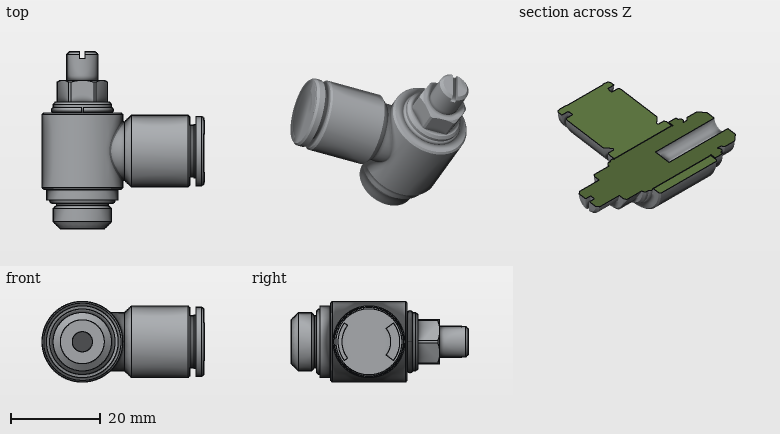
import cadquery as cq
import math


barrel_d = 18.0
barrel_length = 17.05
barrel_chamfer = 0.4
bolt_bore_d = 13.05

neck_d = 13.05
neck_end = 9.4
arm_d = 16.0
arm_start = 10.95
arm_end = 23.95
arm_chamfer = 0.4
root_fillet = 0.25
sleeve_d = 11.6
sleeve_end = 24.95
shoulder_d = 11.95
ring_d = 15.5
ring_start = 25.3
ring_end = 27.1
ring_chamfer_length = 0.5
ring_chamfer_depth = 0.4

pad_height = 0.1
pad_outer_r = 6.87
pad_half_angle = 37.5
back_pad_inner_r = 4.85
front_pad_inner_r = 6.0

shank_d = bolt_bore_d
bolt_top = 22.15
stem_d = 7.0
stem_chamfer = 0.65
hex_top = 15.75
hex_bottom = 11.0
hex_flats = 10.0
hex_corner_d = 11.22
hex_crown_drop = 0.4
flange_chamfer = 0.55
snap_ring_d = 13.83
snap_ring_section_d = 1.2
snap_ring_gap = 0.47
collar_d = 16.0
collar_clearance = 0.1
collar_bottom = -10.95
undercut_d = 11.6
o_ring_section_d = 1.5
undercut_bottom = -12.15
thread_d = 13.05
thread_top = -12.8
bolt_length = 39.5
bolt_bottom = bolt_top - bolt_length
tip_chamfer = 1.62
slot_width = 1.2
slot_depth = 1.5
inlet_d = 4.5

barrel_half = barrel_length / 2


def revolve_about_y(outline):
    """Solid of revolution about Y from (radius, y) points."""
    return cq.Workplane("XY").polyline(outline).close().revolve(360, (0, 0, 0), (0, 1, 0))


def revolve_about_x(outline):
    """Solid of revolution about X from (x, radius) points."""
    return cq.Workplane("XY").polyline(outline).close().revolve(360, (0, 0, 0), (1, 0, 0))


def torus_about_y(outer_d, section_d, y):
    """Round-section ring about Y, centred at height y."""
    ring_r = (outer_d - section_d) / 2
    section = cq.Plane(origin=(ring_r, y, 0), xDir=(-1, 0, 0), normal=(0, 0, 1))
    circle = cq.Workplane(section).circle(section_d / 2)
    return circle.revolve(360, (ring_r, 0, 0), (ring_r, 1, 0))


def make_barrel():
    """Plain cylinder of the housing with both ends chamfered."""
    barrel = cq.Workplane("XZ").circle(barrel_d / 2).extrude(barrel_half, both=True)
    return barrel.faces("<Y or >Y").chamfer(barrel_chamfer)


def make_neck():
    """Plain cylinder joining the barrel to the arm."""
    return cq.Workplane("YZ").circle(neck_d / 2).extrude(neck_end)


def make_arm():
    """Coned barrel of the arm with the release sleeve and its flanged ring."""
    ring_r = ring_d / 2
    return revolve_about_x([
        (neck_end, 0),
        (neck_end, neck_d / 2),
        (arm_start, arm_d / 2),
        (arm_end - arm_chamfer, arm_d / 2),
        (arm_end, arm_d / 2 - arm_chamfer),
        (arm_end, sleeve_d / 2),
        (sleeve_end, sleeve_d / 2),
        (sleeve_end, shoulder_d / 2),
        (ring_start, shoulder_d / 2),
        (ring_start, ring_r),
        (ring_end - ring_chamfer_length, ring_r),
        (ring_end, ring_r - ring_chamfer_depth),
        (ring_end, 0),
    ])


def make_pad(inner_r, middle_angle):
    """Raised ring sector on the arm's end face, centred on an angle from +Y."""
    def on_circle(radius, offset):
        angle = math.radians(middle_angle + offset)
        return radius * math.cos(angle), radius * math.sin(angle)

    return (
        cq.Workplane("YZ", origin=(ring_end, 0, 0))
        .moveTo(*on_circle(inner_r, -pad_half_angle))
        .lineTo(*on_circle(pad_outer_r, -pad_half_angle))
        .threePointArc(on_circle(pad_outer_r, 0), on_circle(pad_outer_r, pad_half_angle))
        .lineTo(*on_circle(inner_r, pad_half_angle))
        .threePointArc(on_circle(inner_r, 0), on_circle(inner_r, -pad_half_angle))
        .close()
        .extrude(pad_height)
    )


def make_housing():
    """Barrel and arm in one piece, bored through for the bolt."""
    root_box = cq.selectors.BoxSelector(
        (0, -neck_d, -neck_d), (neck_end - root_fillet, neck_d, neck_d), boundingbox=True
    )
    body = make_barrel().union(make_neck()).edges(root_box).fillet(root_fillet)
    bore = cq.Workplane("XZ").circle(bolt_bore_d / 2).extrude(barrel_length, both=True)
    body = body.union(make_arm()).cut(bore)
    body = body.union(make_pad(back_pad_inner_r, 0))
    return body.union(make_pad(front_pad_inner_r, 180))


def make_bolt_core():
    """Turned part of the bolt, from the stem down to the threaded tip."""
    stem_r = stem_d / 2
    shank_r = shank_d / 2
    collar_top = -barrel_half - collar_clearance
    return revolve_about_y([
        (0, bolt_top),
        (stem_r - stem_chamfer, bolt_top),
        (stem_r, bolt_top - stem_chamfer),
        (stem_r, hex_bottom),
        (shank_r - flange_chamfer, hex_bottom),
        (shank_r, hex_bottom - flange_chamfer),
        (shank_r, collar_top),
        (collar_d / 2, collar_top),
        (collar_d / 2, collar_bottom),
        (undercut_d / 2, collar_bottom),
        (undercut_d / 2, undercut_bottom),
        (thread_d / 2, thread_top),
        (thread_d / 2, bolt_bottom + tip_chamfer),
        (thread_d / 2 - tip_chamfer, bolt_bottom),
        (0, bolt_bottom),
    ])


def make_hex():
    """Hexagon with flats facing +Z and -Z, rounded corners and a crowned top."""
    across_corners = hex_flats / math.cos(math.pi / 6)
    prism = (
        cq.Workplane("XZ", origin=(0, hex_top, 0))
        .polygon(6, across_corners)
        .extrude(hex_top - hex_bottom)
    )
    corner_r = hex_corner_d / 2
    crown = revolve_about_y([
        (0, hex_bottom),
        (corner_r, hex_bottom),
        (corner_r, hex_top - hex_crown_drop),
        (hex_flats / 2, hex_top),
        (0, hex_top),
    ])
    return prism.intersect(crown)


def make_snap_ring():
    """Round-wire ring resting on the housing, with its gap facing +Z."""
    wire_y = barrel_half + snap_ring_section_d / 2
    ring = torus_about_y(snap_ring_d, snap_ring_section_d, wire_y)
    gap = (
        cq.Workplane("XY", origin=(0, wire_y, 0))
        .rect(snap_ring_gap, 2 * snap_ring_section_d)
        .extrude(snap_ring_d)
    )
    return ring.cut(gap)


def make_o_ring():
    """Seal in the undercut, half sunk into the collar's underside."""
    return torus_about_y(undercut_d + 2 * o_ring_section_d, o_ring_section_d, collar_bottom)


def make_bolt():
    """Bolt with its driver slot and a blind inlet hole that ends at the arm axis."""
    bolt = make_bolt_core().union(make_hex()).union(make_snap_ring()).union(make_o_ring())
    slot = cq.Workplane("XY").box(slot_width, 2 * slot_depth, stem_d).translate((0, bolt_top, 0))
    inlet = cq.Workplane("XZ").circle(inlet_d / 2).extrude(-bolt_bottom)
    return bolt.cut(slot).cut(inlet)


housing = make_housing()
bolt = make_bolt()

result = cq.Compound.makeCompound([housing.solids().val(), bolt.solids().val()])